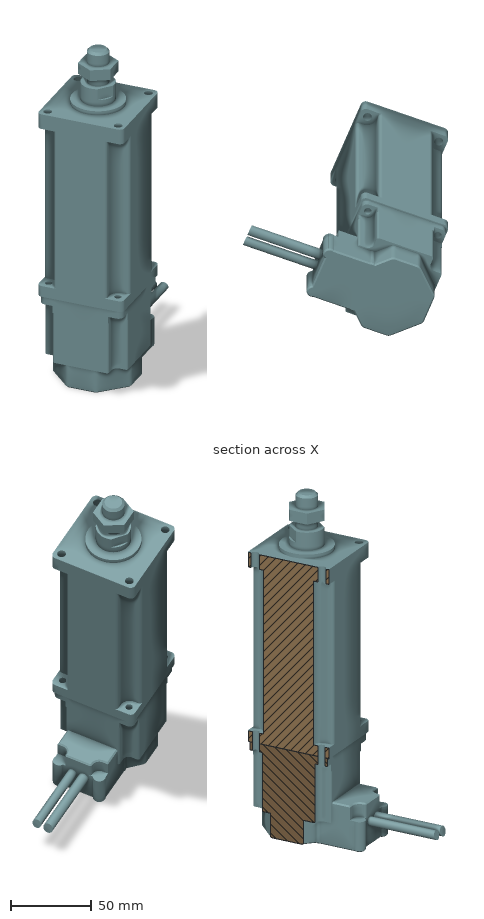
import cadquery as cq
import math

total_height = 227.5
end_cover_height = 16.4
groove_relief_top = 51.5
motor_groove_top = 56.2
motor_top = 61.7
channel_bottom = 69.2
channel_top = 179.5
housing_top = 189.7
collar_top = 192.5
spanner_flat_bottom = 197.0
boss_top = 204.5
nut_bottom = 210.7
nut_top = 218.2

housing_width = 58.0
flange_corner_radius = 3.2
channel_wall = 18.0
channel_radius = 6.4
channel_lip_radius = 2.0
upper_hole_diameter = 5.5
upper_hole_offset = 24.0
motor_hole_diameter = 4.5
motor_hole_offset = 23.5
collar_diameter = 35.0
boss_diameter = 22.0
spanner_flat_width = 19.0
spanner_flat_angle = -39.0
rod_diameter = 14.0
rod_chamfer = 1.5
nut_across_flats = 22.0

motor_width = 56.0
motor_corner_radius = 3.6
groove_wall = 18.9
groove_radius = 4.0
groove_lip_radius = 1.4

cover_half_width = 26.6
cover_front_corner = 10.0
cover_back_corner = 7.7
cover_corner_radius = 3.9
connector_half_width = 17.7
connector_back = 47.3
connector_top = 30.0
edge_chamfer = 1.0

lobe_diameter = 8.0
lobe_x = 14.0
back_lobe_y = 45.5
front_lobe_y = 17.7
lobe_top = 20.5
lobe_notch_radius = 4.8
notch_edge_radius = 1.4

cable_height = 16.4
cable_end = 95.66
cable_end_slant = 1.5
cables = [(-4.0, 6.5), (3.9, 6.0)]

CORNERS = [(1, 1), (-1, 1), (-1, -1), (1, -1)]


def square_post(width, bottom, top, corner_radius):
    post = cq.Workplane("XY").workplane(offset=bottom).rect(width, width).extrude(top - bottom)
    return post.edges("|Z").fillet(corner_radius)


def disc(diameter, bottom, top):
    return cq.Workplane("XY").workplane(offset=bottom).circle(diameter / 2).extrude(top - bottom)


def corner_grooves(half_width, wall, radius, lip, bottom, top):
    """Cutters for the four corners: concave in the corner, with a rounded lip at each face if lip > 0."""
    outside = half_width + 2.3
    floor_end = wall + radius
    mid = wall + radius * (1 - math.sqrt(0.5))
    lip_mid = lip * (1 - math.sqrt(0.5))
    outline = cq.Workplane("XY").workplane(offset=bottom).moveTo(outside, outside)
    outline = outline.lineTo(outside, wall - lip).lineTo(half_width, wall - lip)
    if lip > 0:
        outline = outline.threePointArc(
            (half_width - lip_mid, wall - lip_mid), (half_width - lip, wall)
        )
    outline = outline.lineTo(floor_end, wall).threePointArc((mid, mid), (wall, floor_end))
    outline = outline.lineTo(wall, half_width - lip)
    if lip > 0:
        outline = outline.threePointArc(
            (wall - lip_mid, half_width - lip_mid), (wall - lip, half_width)
        )
    groove = outline.lineTo(wall - lip, outside).close().extrude(top - bottom)
    grooves = groove
    for turn in (90, 180, 270):
        grooves = grooves.union(groove.rotate((0, 0, 0), (0, 0, 1), turn))
    return grooves


def corner_holes(diameter, offset, bottom, top):
    points = [(sx * offset, sy * offset) for sx, sy in CORNERS]
    plane = cq.Workplane("XY").workplane(offset=bottom)
    return plane.pushPoints(points).circle(diameter / 2).extrude(top - bottom)


def make_housing():
    housing = square_post(housing_width, motor_top, housing_top, flange_corner_radius)
    housing = housing.cut(corner_grooves(
        housing_width / 2, channel_wall, channel_radius, channel_lip_radius, channel_bottom, channel_top
    ))
    housing = housing.cut(corner_holes(upper_hole_diameter, upper_hole_offset, channel_top, housing_top))
    return housing.cut(corner_holes(motor_hole_diameter, motor_hole_offset, motor_top, channel_bottom))


def make_rod_boss():
    boss = disc(boss_diameter, collar_top, boss_top)
    flat_height = boss_top - spanner_flat_bottom
    keep = cq.Workplane("XY").workplane(offset=spanner_flat_bottom)
    keep = keep.rect(spanner_flat_width, 2 * boss_diameter).extrude(flat_height)
    keep = keep.rotate((0, 0, 0), (0, 0, 1), spanner_flat_angle)
    flats = disc(2 * boss_diameter, spanner_flat_bottom, boss_top).cut(keep)
    return boss.cut(flats)


def make_actuator():
    rod = disc(rod_diameter, boss_top, total_height).faces(">Z").chamfer(rod_chamfer)
    across_corners = nut_across_flats / math.cos(math.pi / 6)
    nut = cq.Workplane("XY").workplane(offset=nut_bottom)
    nut = nut.polygon(6, across_corners).extrude(nut_top - nut_bottom)
    nut = nut.rotate((0, 0, 0), (0, 0, 1), 30)
    actuator = make_housing().union(disc(collar_diameter, housing_top, collar_top))
    return actuator.union(make_rod_boss()).union(rod).union(nut)


def make_motor_body():
    half_width = motor_width / 2
    body = square_post(motor_width, end_cover_height, motor_top, motor_corner_radius)
    body = body.cut(corner_grooves(
        half_width, groove_wall, groove_radius, 0, groove_relief_top, motor_groove_top
    ))
    body = body.cut(corner_holes(motor_hole_diameter, motor_hole_offset, motor_groove_top, motor_top))
    return body.cut(corner_grooves(
        half_width, groove_wall, groove_radius, groove_lip_radius, end_cover_height, groove_relief_top
    ))


def make_end_cover():
    blend_y = cover_back_corner + cover_half_width - connector_half_width
    right_side = [
        (cover_front_corner, -cover_half_width),
        (cover_half_width, -cover_front_corner),
        (cover_half_width, cover_back_corner),
        (connector_half_width, blend_y),
        (connector_half_width, connector_back),
    ]
    left_side = [(-x, y) for x, y in reversed(right_side)]
    cover = cq.Workplane("XY").polyline(right_side + left_side).close().extrude(end_cover_height)
    for x, y in right_side[:3] + left_side[2:]:
        corner = cq.NearestToPointSelector((x, y, end_cover_height / 2))
        cover = cover.edges(corner).fillet(cover_corner_radius)
    cover = cover.faces("<Z").chamfer(edge_chamfer)
    lobe = disc(lobe_diameter, 0, end_cover_height).faces("<Z").chamfer(edge_chamfer)
    for side in (-1, 1):
        for y in (front_lobe_y, back_lobe_y):
            cover = cover.union(lobe.translate((side * lobe_x, y, 0)))
    return cover


def lobe_notch(side):
    """Cutter that opens the back corner of the connector above a lobe, rounded around the lobe axis."""
    size = 3 * lobe_notch_radius
    notch = cq.Workplane("XY").workplane(offset=lobe_top).rect(size, size).extrude(connector_top - lobe_top)
    notch = notch.edges("|Z").fillet(lobe_notch_radius)
    shift = size / 2 - lobe_notch_radius
    return notch.translate((side * (lobe_x + shift), back_lobe_y + shift, 0))


def make_connector():
    front = motor_width / 4
    block = cq.Workplane("XY").workplane(offset=end_cover_height)
    block = block.center(0, (front + connector_back) / 2)
    block = block.rect(2 * connector_half_width, connector_back - front)
    block = block.extrude(connector_top - end_cover_height)
    for side in (-1, 1):
        block = block.cut(lobe_notch(side))
        notch_edge = cq.NearestToPointSelector(
            (side * (lobe_x - lobe_notch_radius), connector_back, (lobe_top + connector_top) / 2)
        )
        block = block.edges(notch_edge).fillet(notch_edge_radius)
    block = block.faces(">Z").chamfer(edge_chamfer)
    for side in (-1, 1):
        lobe = disc(lobe_diameter, end_cover_height, lobe_top)
        block = block.union(lobe.translate((side * lobe_x, back_lobe_y, 0)))
    return block


def make_cable(x, diameter):
    start = connector_back - 2.3
    cable = cq.Workplane("XZ", origin=(x, start, cable_height)).circle(diameter / 2).extrude(start - cable_end)
    radius = diameter / 2
    slant = cq.Workplane("YZ").polyline([
        (cable_end, cable_height - radius),
        (cable_end, cable_height + radius),
        (cable_end - cable_end_slant, cable_height + radius),
    ]).close().extrude(housing_width, both=True)
    return cable.cut(slant)


def make_motor():
    motor = make_motor_body().union(make_end_cover()).union(make_connector())
    for x, diameter in cables:
        motor = motor.union(make_cable(x, diameter))
    return motor


actuator = make_actuator()
motor = make_motor()

result = cq.Compound.makeCompound([actuator.val(), motor.val()])